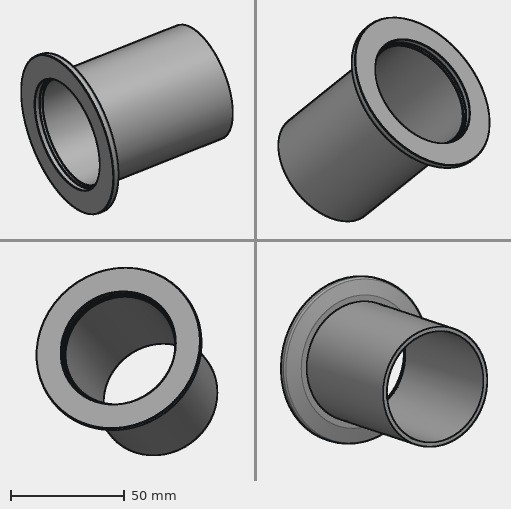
import cadquery as cq
import math

flange_radius = 37.5
flange_thickness = 5.0
overall_length = 70.0

tube_outer_radius = 27.0
tube_wall = 2.0
tube_inner_radius = tube_outer_radius - tube_wall
tube_start = 3.6

back_angle = 15.0
rim_height = 3.0
rim_fillet = 1.0
edge_chamfer = 0.2
back_rise = flange_thickness - rim_height
back_radius = flange_radius - back_rise / math.tan(math.radians(back_angle))

lip_radius = 25.6
recess_radius = 26.2
recess_depth = 2.4


def make_tube():
    """Plain pipe that rests against the lip inside the flange."""
    section = [
        (tube_inner_radius, tube_start),
        (tube_outer_radius, tube_start),
        (tube_outer_radius, overall_length),
        (tube_inner_radius, overall_length),
    ]
    return cq.Workplane("XY").polyline(section).close().revolve(360, (0, 0), (0, 1))


def make_flange():
    """Clamp flange with a sloping back, a centering recess and a tube socket."""
    section = [
        (recess_radius + edge_chamfer, 0),
        (flange_radius - edge_chamfer, 0),
        (flange_radius, edge_chamfer),
        (flange_radius, rim_height),
        (back_radius, flange_thickness),
        (tube_outer_radius, flange_thickness),
        (tube_outer_radius, tube_start),
        (lip_radius, tube_start),
        (lip_radius, recess_depth),
        (recess_radius, recess_depth),
        (recess_radius, edge_chamfer),
    ]
    body = cq.Workplane("XY").polyline(section).close().revolve(360, (0, 0), (0, 1))
    outer_edges = body.edges("%CIRCLE").edges(cq.selectors.RadiusNthSelector(-1))
    return outer_edges.edges(">Y").fillet(rim_fillet)


tube = make_tube()
flange = make_flange()

result = cq.Compound.makeCompound([tube.val(), flange.val()])